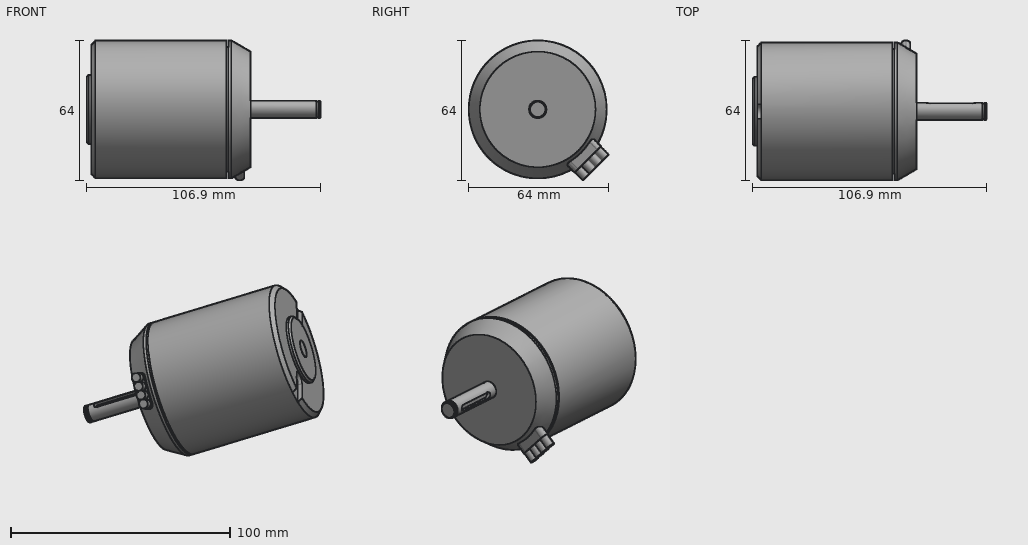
import cadquery as cq
import math

total_length = 106.9

hub_radius = 15.8
hub_length = 2.0
hub_chamfer = 1.0
shaft_recess = 0.1

body_radius = 31.5
body_chamfer = 2.0

groove_start = 63.8
groove_width = 0.9
groove_radius = 28.5
groove_end = groove_start + groove_width

cap_rim_width = 1.4
cap_end = 74.9
cap_end_radius = 26.4

shaft_diameter = 8.0
shaft_radius = shaft_diameter / 2
tip_chamfer = 0.5
ring_groove_start = 104.8
ring_groove_width = 1.0
ring_groove_depth = 0.4
ring_groove_end = ring_groove_start + ring_groove_width
ring_groove_radius = shaft_radius - ring_groove_depth

keyway_start = 79.5
keyway_length = 22.2
keyway_width = 3.0
keyway_depth = 1.8

slot_width = 6.5
slot_inner_end = 16.0
slot_depth = body_chamfer

cable_count = 4
cable_diameter = 4.2
cable_x = 69.9
cable_reach = 37.5
grommet_reach = 32.3
grommet_width = 4.6
cable_root = 21.4
cable_row_angle = math.radians(45)


def make_turned_body():
    """Hub, housing, groove, end cap and shaft as one body of revolution."""
    profile = [
        (shaft_recess, 0),
        (shaft_recess, shaft_radius),
        (0, shaft_radius),
        (0, hub_radius - hub_chamfer),
        (hub_chamfer, hub_radius),
        (hub_length, hub_radius),
        (hub_length, body_radius - body_chamfer),
        (hub_length + body_chamfer, body_radius),
        (groove_start, body_radius),
        (groove_start, groove_radius),
        (groove_end, groove_radius),
        (groove_end, body_radius),
        (groove_end + cap_rim_width, body_radius),
        (cap_end, cap_end_radius),
        (cap_end, shaft_radius),
        (ring_groove_start, shaft_radius),
        (ring_groove_start, ring_groove_radius),
        (ring_groove_end, ring_groove_radius),
        (ring_groove_end, shaft_radius),
        (total_length - tip_chamfer, shaft_radius),
        (total_length, shaft_radius - tip_chamfer),
        (total_length, 0),
    ]
    return cq.Workplane("XY").polyline(profile).close().revolve(360, (0, 0, 0), (1, 0, 0))


def make_rear_slot(side):
    """Cutter for the slot on the +Z side (side = 1) or the -Z side (side = -1)."""
    slot_length = body_radius + slot_width - slot_inner_end
    slot_middle = slot_inner_end + slot_length / 2
    return (
        cq.Workplane("YZ", origin=(hub_length, 0, 0))
        .center(0, side * slot_middle)
        .slot2D(slot_length, slot_width, 90)
        .extrude(slot_depth)
    )


def make_keyway():
    """Cutter for the keyway, from its floor out past the shaft surface."""
    floor_y = shaft_radius - keyway_depth
    middle_x = keyway_start + keyway_length / 2
    return (
        cq.Workplane("XZ", origin=(middle_x, floor_y, 0))
        .slot2D(keyway_length, keyway_width)
        .extrude(-shaft_radius)
    )


def make_cable_exit():
    """Grommet and cables, rooted inside the end cap and pointing outward."""
    outward = (0, math.cos(cable_row_angle), -math.sin(cable_row_angle))
    along_row = (0, math.sin(cable_row_angle), math.cos(cable_row_angle))
    root = (cable_x, cable_root * outward[1], cable_root * outward[2])
    row = cq.Workplane(cq.Plane(origin=root, xDir=along_row, normal=outward))

    row_span = (cable_count - 1) * cable_diameter
    exit_body = row.slot2D(row_span + grommet_width, grommet_width).extrude(grommet_reach - cable_root)
    for index in range(cable_count):
        offset = index * cable_diameter - row_span / 2
        cable = row.center(offset, 0).circle(cable_diameter / 2).extrude(cable_reach - cable_root)
        exit_body = exit_body.union(cable)
    return exit_body


motor = make_turned_body()
for slot_side in (1, -1):
    motor = motor.cut(make_rear_slot(slot_side))
motor = motor.cut(make_keyway())
result = motor.union(make_cable_exit())